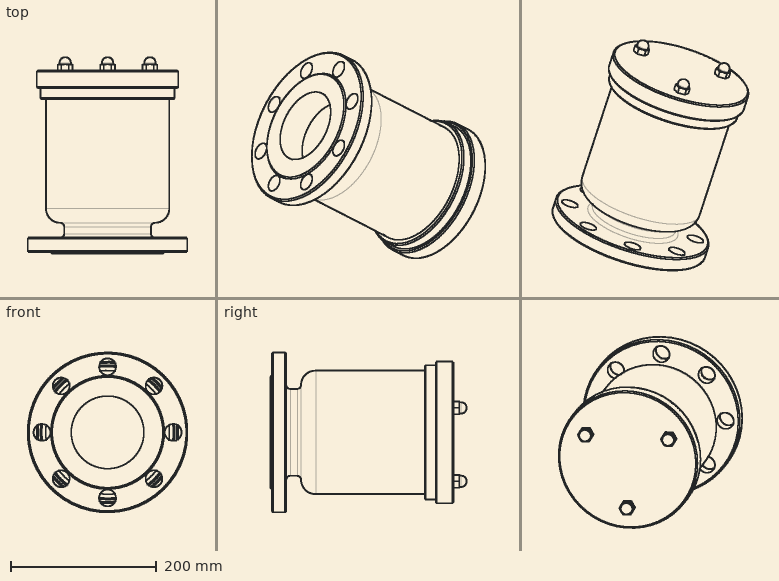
import cadquery as cq
import math


face_step = 2.0
flange_back = 22.1
body_front = 42.0
collar_front = 212.0
cover_front = 227.0
cover_back = 252.0
total_length = 270.0

flange_diameter = 220.0
face_diameter = 156.0
neck_diameter = 120.0
body_diameter = 170.0
collar_diameter = 185.0
cover_diameter = 195.0
bore_diameter = 100.0
bore_depth = body_front

edge_chamfer = 2.0
neck_fillet = 5.0
shoulder_radius = body_diameter / 2 - neck_diameter / 2 - neck_fillet

bolt_hole_count = 8
bolt_hole_diameter = 23.0
bolt_circle_diameter = 180.0

nut_count = 3
nut_circle_radius = 67.2
first_nut_angle = -90.0
hex_sides = 6
nut_across_flats = 17.8
hex_height = 8.0
dome_diameter = 16.0
nut_chamfer_angle = 30.0

full_turn = 360.0
axis_start = (0, 0, 0)
axis_end = (0, 1, 0)


def axial_plane(y):
    """Plane across the Y axis at height y, facing +Y, with its local x along -X and local y along Z."""
    return cq.Plane(origin=(0, y, 0), xDir=(-1, 0, 0), normal=(0, 1, 0))


def disc(y_start, y_end, diameter):
    """Plain cylinder on the Y axis between two heights."""
    return cq.Workplane(axial_plane(y_start)).circle(diameter / 2).extrude(y_end - y_start)


def make_flange():
    """Flange with both rims chamfered and a raised sealing face whose rim slopes at 45 degrees."""
    plate = disc(face_step, flange_back, flange_diameter).edges().chamfer(edge_chamfer)
    raised_face = (
        cq.Workplane("XY")
        .lineTo(face_diameter / 2 - face_step, 0)
        .lineTo(face_diameter / 2, face_step)
        .lineTo(0, face_step)
        .close()
        .revolve(full_turn, axis_start, axis_end)
    )
    return plate.union(raised_face)


def make_neck_and_body():
    """Revolved neck and body, with a fillet at each end of the neck and a rounded body shoulder."""
    neck_radius = neck_diameter / 2
    outer_radius = body_diameter / 2
    foot_radius = neck_radius + neck_fillet
    diagonal = math.sqrt(0.5)
    fillet_inset = neck_fillet * (1 - diagonal)
    shoulder_inset = shoulder_radius * (1 - diagonal)
    return (
        cq.Workplane("XY")
        .moveTo(0, flange_back)
        .lineTo(foot_radius, flange_back)
        .threePointArc(
            (neck_radius + fillet_inset, flange_back + fillet_inset),
            (neck_radius, flange_back + neck_fillet),
        )
        .lineTo(neck_radius, body_front - neck_fillet)
        .threePointArc(
            (neck_radius + fillet_inset, body_front - fillet_inset),
            (foot_radius, body_front),
        )
        .threePointArc(
            (outer_radius - shoulder_inset, body_front + shoulder_inset),
            (outer_radius, body_front + shoulder_radius),
        )
        .lineTo(outer_radius, collar_front)
        .lineTo(0, collar_front)
        .close()
        .revolve(full_turn, axis_start, axis_end)
    )


def make_collar_and_cover():
    """Collar with its front rim chamfered, and the wider cover with both rims chamfered."""
    collar = disc(collar_front, cover_front, collar_diameter).faces("<Y").edges().chamfer(edge_chamfer)
    cover = disc(cover_front, cover_back, cover_diameter).edges().chamfer(edge_chamfer)
    return collar.union(cover)


def make_housing():
    """Complete housing with its blind bore and the ring of flange bolt holes."""
    bolt_holes = (
        cq.Workplane(axial_plane(0))
        .polarArray(bolt_circle_diameter / 2, 0, full_turn, bolt_hole_count)
        .circle(bolt_hole_diameter / 2)
        .extrude(flange_back)
    )
    return (
        make_flange()
        .union(make_neck_and_body())
        .union(make_collar_and_cover())
        .cut(disc(0, bore_depth, bore_diameter))
        .cut(bolt_holes)
    )


def make_cap_nut():
    """Cap nut on the Y axis: a hexagon with bevelled corners, topped by a short collar and a dome."""
    corner_radius = nut_across_flats / 2 / math.cos(math.pi / hex_sides)
    dome_radius = dome_diameter / 2
    hex_top = cover_back + hex_height
    dome_base = total_length - dome_radius
    bevel_radius = nut_across_flats / 2
    bevel_drop = (corner_radius - bevel_radius) * math.tan(math.radians(nut_chamfer_angle))

    hexagon = cq.Workplane(axial_plane(cover_back)).polygon(hex_sides, 2 * corner_radius).extrude(hex_height)
    bevel_limit = (
        cq.Workplane("XY")
        .moveTo(0, cover_back)
        .lineTo(corner_radius, cover_back)
        .lineTo(corner_radius, hex_top - bevel_drop)
        .lineTo(bevel_radius, hex_top)
        .lineTo(0, hex_top)
        .close()
        .revolve(full_turn, axis_start, axis_end)
    )
    diagonal = dome_radius * math.sqrt(0.5)
    cap = (
        cq.Workplane("XY")
        .moveTo(0, hex_top)
        .lineTo(dome_radius, hex_top)
        .lineTo(dome_radius, dome_base)
        .threePointArc((diagonal, dome_base + diagonal), (0, total_length))
        .close()
        .revolve(full_turn, axis_start, axis_end)
    )
    return hexagon.intersect(bevel_limit).union(cap)


housing = make_housing()

cap_nut = make_cap_nut()
cap_nuts = []
for index in range(nut_count):
    angle = math.radians(first_nut_angle + index * full_turn / nut_count)
    offset = (nut_circle_radius * math.cos(angle), 0, nut_circle_radius * math.sin(angle))
    cap_nuts.append(cap_nut.translate(offset).val())

result = cq.Compound.makeCompound([housing.val(), *cap_nuts])